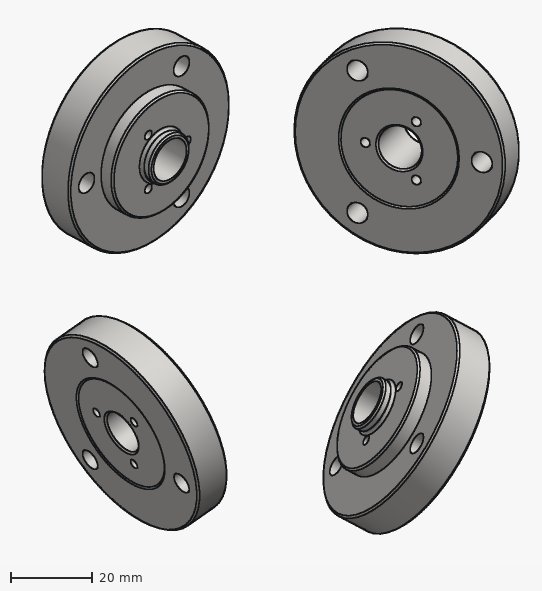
import cadquery as cq
import math

flange_diameter = 56.0
flange_thickness = 10.0
collar_diameter = 34.0
collar_end = 14.0
spigot_diameter = 14.0
total_length = 17.0
edge_chamfer = 0.5

relief_diameter = 13.6
relief_width = 1.0
relief_taper_length = 0.15
relief_radius = 0.5
relief_face_depth = 0.1

bore_diameter = 11.4
recess_diameter = 32.0
recess_depth = 0.3
recess_wall_run = 0.5

hole_count = 3
large_hole_diameter = 5.5
large_hole_circle_radius = 22.0
large_hole_start_angle = 180
small_hole_diameter = 2.45
small_hole_circle_radius = 9.0
small_hole_start_angle = 0


def cylinder(diameter, start, end):
    """Cylinder on the X axis between two X positions."""
    return cq.Workplane("YZ", origin=(start, 0, 0)).circle(diameter / 2).extrude(end - start)


def make_stepped_body():
    flange = cylinder(flange_diameter, 0, flange_thickness).edges().chamfer(edge_chamfer)
    collar = cylinder(collar_diameter, 0, collar_end).faces(">X").edges().chamfer(edge_chamfer)
    spigot = cylinder(spigot_diameter, 0, total_length).faces(">X").edges().chamfer(edge_chamfer)
    return flange.union(collar).union(spigot)


def make_relief():
    """Ring-shaped cutter with a round inner corner and a tapered exit."""
    floor_radius = relief_diameter / 2
    center_x = collar_end - relief_face_depth + relief_radius
    center_r = floor_radius + relief_radius
    face_offset = center_x - collar_end
    face_r = center_r + math.sqrt(relief_radius**2 - face_offset**2)
    relief_end = collar_end + relief_width
    return (
        cq.Workplane("XY")
        .moveTo(collar_end, face_r)
        .threePointArc((center_x - relief_radius, center_r), (center_x, floor_radius))
        .lineTo(relief_end - relief_taper_length, floor_radius)
        .lineTo(relief_end, spigot_diameter / 2)
        .lineTo(relief_end, face_r)
        .close()
        .revolve(360, (0, 0, 0), (1, 0, 0))
    )


def inward_cone(mouth_diameter, start, depth, wall_run):
    """Cone that narrows by wall_run in radius over its depth along +X."""
    mouth_radius = mouth_diameter / 2
    origin = cq.Vector(start, 0, 0)
    axis = cq.Vector(1, 0, 0)
    return cq.Workplane(cq.Solid.makeCone(mouth_radius, mouth_radius - wall_run, depth, origin, axis))


def make_recess():
    return inward_cone(recess_diameter, 0, recess_depth, recess_wall_run)


def make_bore():
    bore = cylinder(bore_diameter, 0, total_length)
    mouth = inward_cone(bore_diameter + 2 * edge_chamfer, recess_depth, edge_chamfer, edge_chamfer)
    return bore.union(mouth)


def make_holes(diameter, circle_radius, start_angle):
    """Through holes evenly spaced around the X axis; angles run from +Y to +Z."""
    return (
        cq.Workplane("YZ")
        .polarArray(circle_radius, start_angle, 360, hole_count)
        .circle(diameter / 2)
        .extrude(total_length)
    )


result = (
    make_stepped_body()
    .cut(make_relief())
    .cut(make_recess())
    .cut(make_bore())
    .cut(make_holes(large_hole_diameter, large_hole_circle_radius, large_hole_start_angle))
    .cut(make_holes(small_hole_diameter, small_hole_circle_radius, small_hole_start_angle))
)